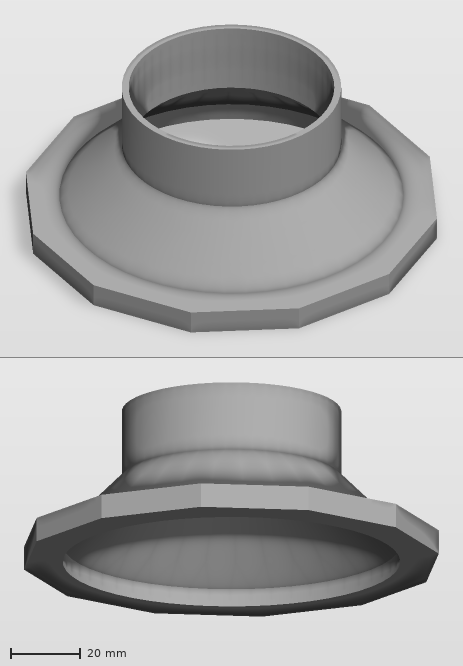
import cadquery as cq
import math

FLANGE_SIDES = 12
FLANGE_ACROSS_CORNERS = 121.1
FLANGE_THICKNESS = 7.0
FLANGE_HOLE_DIAMETER = 97.6

TOTAL_HEIGHT = 45.0
COLLAR_HEIGHT = 20.0
COLLAR_OUTER_DIAMETER = 63.5
COLLAR_INNER_DIAMETER = 59.5
CONE_ANGLE = math.radians(45)

collar_outer_radius = COLLAR_OUTER_DIAMETER / 2
collar_inner_radius = COLLAR_INNER_DIAMETER / 2
hole_radius = FLANGE_HOLE_DIAMETER / 2
wall = collar_outer_radius - collar_inner_radius

outer_joint_z = TOTAL_HEIGHT - COLLAR_HEIGHT
cone_height = outer_joint_z - FLANGE_THICKNESS
cone_foot_radius = collar_outer_radius + cone_height * math.tan(CONE_ANGLE)

inner_joint_z = outer_joint_z - wall * math.tan(CONE_ANGLE / 2)
inner_foot_z = inner_joint_z - (hole_radius - collar_inner_radius) / math.tan(CONE_ANGLE)


def revolve_profile(points):
    """Turn a closed (radius, height) outline about the Z axis."""
    return cq.Workplane("XZ").polyline(points).close().revolve(360, (0, 0, 0), (0, 1, 0))


def make_flange():
    return (
        cq.Workplane("XY")
        .polygon(FLANGE_SIDES, FLANGE_ACROSS_CORNERS)
        .extrude(FLANGE_THICKNESS)
    )


def make_neck_body():
    return revolve_profile([
        (0, 0),
        (cone_foot_radius, 0),
        (cone_foot_radius, FLANGE_THICKNESS),
        (collar_outer_radius, outer_joint_z),
        (collar_outer_radius, TOTAL_HEIGHT),
        (0, TOTAL_HEIGHT),
    ])


def make_bore():
    return revolve_profile([
        (0, 0),
        (hole_radius, 0),
        (hole_radius, inner_foot_z),
        (collar_inner_radius, inner_joint_z),
        (collar_inner_radius, TOTAL_HEIGHT),
        (0, TOTAL_HEIGHT),
    ])


result = make_flange().union(make_neck_body()).cut(make_bore())